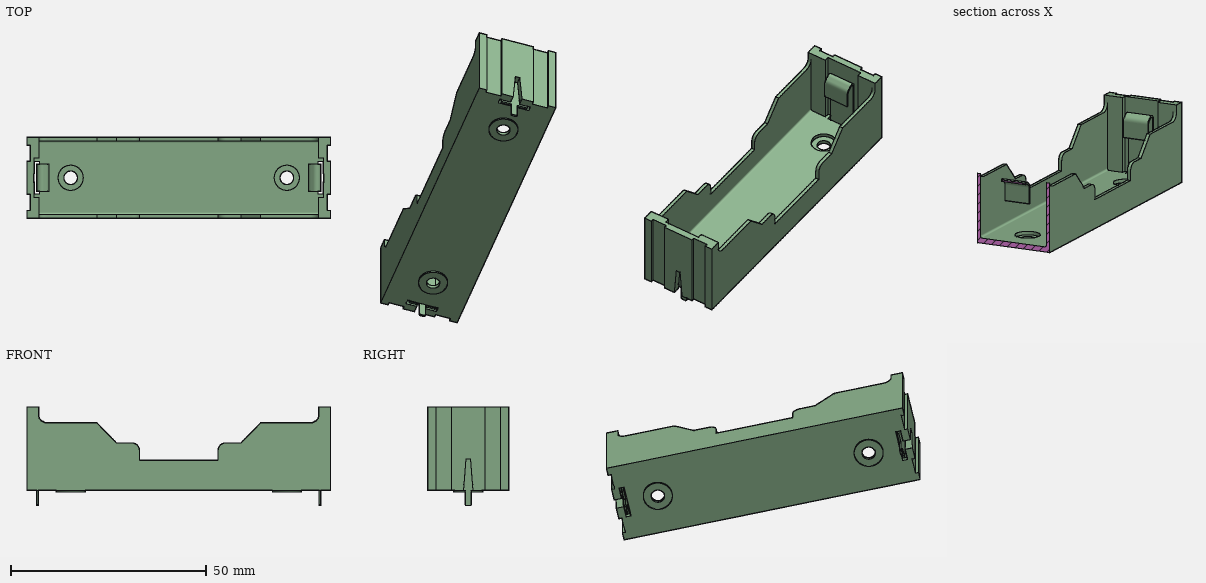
import cadquery as cq
import math


LENGTH = 77.8
WIDTH = 20.8
HEIGHT = 21.4
END_THICKNESS = 3.0
SIDE_THICKNESS = 0.9
FLOOR_THICKNESS = 1.5
FLOOR_FILLET = 0.55

SHOULDER_Z = 17.35
STEP_Z = 12.2
SILL_Z = 7.8
SLOPE_TOP_X = 21.0
SLOPE_BOTTOM_X = 15.95
SILL_HALF_LENGTH = 10.0
OPENING_RADIUS = 2.0

CHANNEL_DEPTH = 0.8
CHANNEL_INNER_Y = 4.3
CHANNEL_OUTER_Y = 8.3

RECESS_DEPTH = 1.25
RECESS_WIDTH = 10.1
SLOT_WIDTH = 8.25
SLOT_OUTER = 1.95
SLOT_INNER = 3.2
NOTCH_HEIGHT = 8.0
NOTCH_TOP_WIDTH = 1.2
NOTCH_BOTTOM_WIDTH = 2.4

MOUNT_X = 27.7
HOLE_DIAMETER = 3.4
COUNTERBORE_DIAMETER = 6.45
COUNTERBORE_DEPTH = 0.9
PAD_DIAMETER = 7.5
PAD_HEIGHT = 0.5

CLIP_OFFSET = 2.5
CLIP_WIDTH = 7.0
CLIP_TOP_Z = 17.8
CLIP_REACH = 3.2
CLIP_TIP_Z = 11.6
SHEET = 0.5
ARCH_RADIUS = 1.2
SHOULDER_RADIUS = 1.5
RAMP_ANGLE = 36.0
PIN_WIDTH = 1.6
PIN_LENGTH = 3.9
PIN_CHAMFER = 0.2

HALF_LENGTH = LENGTH / 2
ENDS = (-1, 1)


def box(x_range, y_range, z_range):
    """Box spanning the given limits along each axis."""
    spans = [sorted(limits) for limits in (x_range, y_range, z_range)]
    sizes = [high - low for low, high in spans]
    return cq.Workplane("XY").box(*sizes, centered=False).translate(tuple(low for low, _ in spans))


def on_circle(center, radius, angle):
    """Point on a circle at an angle in radians."""
    return (center[0] + radius * math.cos(angle), center[1] + radius * math.sin(angle))


def make_side_opening():
    """Cutter that shapes the top edge of both side walls."""
    post_x = HALF_LENGTH - END_THICKNESS
    post_arc_center = (post_x - OPENING_RADIUS, SHOULDER_Z + OPENING_RADIUS)
    step_arc_center = (SILL_HALF_LENGTH + OPENING_RADIUS, STEP_Z - OPENING_RADIUS)
    post_arc_middle = on_circle(post_arc_center, OPENING_RADIUS, math.radians(-45))
    step_arc_middle = on_circle(step_arc_center, OPENING_RADIUS, math.radians(135))
    half = (
        cq.Workplane("XZ")
        .moveTo(0, HEIGHT)
        .lineTo(post_x, HEIGHT)
        .lineTo(post_x, SHOULDER_Z + OPENING_RADIUS)
        .threePointArc(post_arc_middle, (post_x - OPENING_RADIUS, SHOULDER_Z))
        .lineTo(SLOPE_TOP_X, SHOULDER_Z)
        .lineTo(SLOPE_BOTTOM_X, STEP_Z)
        .lineTo(SILL_HALF_LENGTH + OPENING_RADIUS, STEP_Z)
        .threePointArc(step_arc_middle, (SILL_HALF_LENGTH, STEP_Z - OPENING_RADIUS))
        .lineTo(SILL_HALF_LENGTH, SILL_Z)
        .lineTo(0, SILL_Z)
        .close()
        .extrude(WIDTH, both=True)
    )
    return half.union(half.mirror("YZ"))


def make_end_cut(end):
    """Everything cut from one end of the tray: channels, recess, slot and notch."""
    outer_x = end * HALF_LENGTH
    inner_x = end * (HALF_LENGTH - END_THICKNESS)
    slot_outer_x = end * (HALF_LENGTH - SLOT_OUTER)
    slot_inner_x = end * (HALF_LENGTH - SLOT_INNER)

    cut = box(
        (inner_x, inner_x + end * RECESS_DEPTH),
        (-RECESS_WIDTH / 2, RECESS_WIDTH / 2),
        (FLOOR_THICKNESS, HEIGHT),
    )
    for side in (-1, 1):
        channel_y = (side * CHANNEL_INNER_Y, side * CHANNEL_OUTER_Y)
        cut = cut.union(box((outer_x, outer_x - end * CHANNEL_DEPTH), channel_y, (0, HEIGHT)))
    slot = box((slot_outer_x, slot_inner_x), (-SLOT_WIDTH / 2, SLOT_WIDTH / 2), (0, FLOOR_THICKNESS))
    notch = (
        cq.Workplane("YZ", origin=(outer_x, 0, 0))
        .moveTo(-NOTCH_BOTTOM_WIDTH / 2, 0)
        .lineTo(-NOTCH_TOP_WIDTH / 2, NOTCH_HEIGHT)
        .lineTo(NOTCH_TOP_WIDTH / 2, NOTCH_HEIGHT)
        .lineTo(NOTCH_BOTTOM_WIDTH / 2, 0)
        .close()
        .extrude(-end * END_THICKNESS)
    )
    return cut.union(slot).union(notch)


def make_tray():
    """The molded tray as one solid."""
    tray = box((-HALF_LENGTH, HALF_LENGTH), (-WIDTH / 2, WIDTH / 2), (0, HEIGHT))
    cavity_x = HALF_LENGTH - END_THICKNESS
    cavity_y = WIDTH / 2 - SIDE_THICKNESS
    cavity = box((-cavity_x, cavity_x), (-cavity_y, cavity_y), (FLOOR_THICKNESS, HEIGHT))
    tray = tray.cut(cavity.edges("|X and <Z").fillet(FLOOR_FILLET)).cut(make_side_opening())

    for end in ENDS:
        tray = tray.cut(make_end_cut(end))
        mount = cq.Workplane("XY", origin=(end * MOUNT_X, 0, -PAD_HEIGHT))
        pad = mount.circle(PAD_DIAMETER / 2).extrude(PAD_HEIGHT)
        hole = mount.circle(HOLE_DIAMETER / 2).extrude(PAD_HEIGHT + FLOOR_THICKNESS)
        counterbore = (
            mount.workplane(offset=PAD_HEIGHT + FLOOR_THICKNESS)
            .circle(COUNTERBORE_DIAMETER / 2)
            .extrude(-COUNTERBORE_DEPTH)
        )
        tray = tray.union(pad).cut(hole).cut(counterbore)
    return tray


def make_clip():
    """Contact clip with its outer face at X = 0, bending toward +X."""
    slope = math.radians(RAMP_ANGLE)
    arch_center = (ARCH_RADIUS, CLIP_TOP_Z - ARCH_RADIUS)
    shoulder_x = CLIP_REACH - SHOULDER_RADIUS

    ramp_normal = math.pi / 2 - slope
    arch_end = on_circle(arch_center, ARCH_RADIUS, ramp_normal)
    ramp_end_x = shoulder_x + SHOULDER_RADIUS * math.cos(ramp_normal)
    ramp_end_z = arch_end[1] - (ramp_end_x - arch_end[0]) * math.tan(slope)
    shoulder_center = (shoulder_x, ramp_end_z - SHOULDER_RADIUS * math.sin(ramp_normal))
    arch_middle = (math.pi + ramp_normal) / 2
    arch_inner = ARCH_RADIUS - SHEET
    shoulder_inner = SHOULDER_RADIUS - SHEET
    strip = (
        cq.Workplane("XZ")
        .moveTo(0, 0)
        .lineTo(0, arch_center[1])
        .threePointArc(on_circle(arch_center, ARCH_RADIUS, arch_middle), arch_end)
        .lineTo(*on_circle(shoulder_center, SHOULDER_RADIUS, ramp_normal))
        .threePointArc(
            on_circle(shoulder_center, SHOULDER_RADIUS, ramp_normal / 2),
            on_circle(shoulder_center, SHOULDER_RADIUS, 0),
        )
        .lineTo(CLIP_REACH, CLIP_TIP_Z)
        .lineTo(CLIP_REACH - SHEET, CLIP_TIP_Z)
        .lineTo(*on_circle(shoulder_center, shoulder_inner, 0))
        .threePointArc(
            on_circle(shoulder_center, shoulder_inner, ramp_normal / 2),
            on_circle(shoulder_center, shoulder_inner, ramp_normal),
        )
        .lineTo(*on_circle(arch_center, arch_inner, ramp_normal))
        .threePointArc(on_circle(arch_center, arch_inner, arch_middle), (SHEET, arch_center[1]))
        .lineTo(SHEET, 0)
        .close()
        .extrude(CLIP_WIDTH / 2, both=True)
    )
    pin = box((0, SHEET), (-PIN_WIDTH / 2, PIN_WIDTH / 2), (-PIN_LENGTH, 0))
    return strip.union(pin.edges("|X and <Z").chamfer(PIN_CHAMFER))


tray = make_tray()

left_clip = make_clip().translate((CLIP_OFFSET - HALF_LENGTH, 0, 0))
clips = [left_clip, left_clip.mirror("YZ")]

result = cq.Compound.makeCompound([tray.solids().val(), *[clip.solids().val() for clip in clips]])